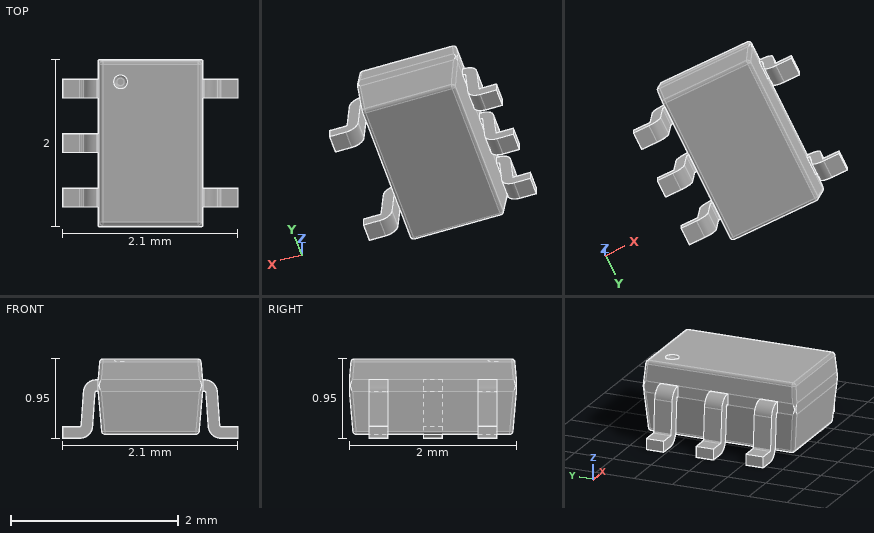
import cadquery as cq
import math

body_width = 1.252
body_length = 2.0
body_bottom = 0.048
body_top = 0.95
draft_angle = 5.0
edge_radius = 0.04

lead_span = 2.1
lead_thickness = 0.14
lead_width = 0.227
lead_pitch = 0.65
lead_top = 0.701
lead_lean = 4.0
bend_inner_radius = 0.015
shoulder_length = 0.02
lead_embed = 0.042
left_lead_rows = (-1, 0, 1)
right_lead_rows = (-1, 1)

mark_x = -0.357
mark_y = 0.733
mark_radius = 0.082
mark_depth = 0.03
mark_floor_radius = 0.045

bend_outer_radius = bend_inner_radius + lead_thickness
parting_height = lead_top - lead_thickness / 2
band_overhang = lead_thickness / 2 * math.tan(math.radians(draft_angle))


def make_half_body(height):
    """Drafted half of the body, from the parting plane to the signed height, with rounded edges."""
    end_face = ">Z" if height > 0 else "<Z"
    return (
        cq.Workplane("XY")
        .rect(body_width + 2 * band_overhang, body_length + 2 * band_overhang)
        .extrude(height, taper=draft_angle)
        .edges("not (|X or |Y)")
        .fillet(edge_radius)
        .faces(end_face)
        .edges()
        .fillet(edge_radius)
        .translate((0, 0, parting_height))
    )


def make_body():
    """Both drafted halves, trimmed to a vertical band where they meet."""
    halves = make_half_body(body_top - parting_height).union(make_half_body(body_bottom - parting_height))
    trim = cq.Workplane("XY").box(body_width, body_length, body_top, centered=(True, True, False))
    return halves.intersect(trim)


def point_on_circle(center, radius, degrees):
    """Point on a circle, at an angle measured from its first axis."""
    angle = math.radians(degrees)
    return (center[0] + radius * math.cos(angle), center[1] + radius * math.sin(angle))


def make_left_lead(y):
    """Gull-wing lead on the -X side, centred on the given Y."""
    lean = math.radians(lead_lean)
    upper_x = -body_width / 2 - shoulder_length
    upper_z = lead_top - bend_outer_radius
    lower_z = bend_outer_radius
    bend_offset = bend_inner_radius + bend_outer_radius + (upper_z - lower_z) * math.sin(lean)
    upper_bend = (upper_x, upper_z)
    lower_bend = (upper_x - bend_offset / math.cos(lean), lower_z)

    tip_x = -lead_span / 2
    root_x = -body_width / 2 + lead_embed
    lower_end = -lead_lean
    lower_middle = (lower_end - 90) / 2
    upper_end = 180 - lead_lean
    upper_middle = (upper_end + 90) / 2
    profile = (
        cq.Workplane("XZ")
        .moveTo(tip_x, 0)
        .lineTo(lower_bend[0], 0)
        .threePointArc(
            point_on_circle(lower_bend, bend_outer_radius, lower_middle),
            point_on_circle(lower_bend, bend_outer_radius, lower_end),
        )
        .lineTo(*point_on_circle(upper_bend, bend_inner_radius, upper_end))
        .threePointArc(
            point_on_circle(upper_bend, bend_inner_radius, upper_middle),
            point_on_circle(upper_bend, bend_inner_radius, 90),
        )
        .lineTo(root_x, lead_top - lead_thickness)
        .lineTo(root_x, lead_top)
        .lineTo(upper_x, lead_top)
        .threePointArc(
            point_on_circle(upper_bend, bend_outer_radius, upper_middle),
            point_on_circle(upper_bend, bend_outer_radius, upper_end),
        )
        .lineTo(*point_on_circle(lower_bend, bend_inner_radius, lower_end))
        .threePointArc(
            point_on_circle(lower_bend, bend_inner_radius, lower_middle),
            point_on_circle(lower_bend, bend_inner_radius, -90),
        )
        .lineTo(tip_x, lead_thickness)
        .close()
    )
    return profile.extrude(lead_width / 2, both=True).translate((0, y, 0))


def make_pin_mark():
    """Cutter for the dimple: a curved wall running smoothly into a smaller flat floor."""
    floor = body_top - mark_depth
    return (
        cq.Workplane("XZ")
        .moveTo(0, floor)
        .lineTo(mark_floor_radius, floor)
        .tangentArcPoint((mark_radius, body_top), relative=False)
        .lineTo(0, body_top)
        .close()
        .revolve(360, (0, 0, 0), (0, 1, 0))
        .translate((mark_x, mark_y, 0))
    )


result = make_body().cut(make_pin_mark())
for row in left_lead_rows:
    result = result.union(make_left_lead(row * lead_pitch))
for row in right_lead_rows:
    result = result.union(make_left_lead(row * lead_pitch).mirror("YZ"))